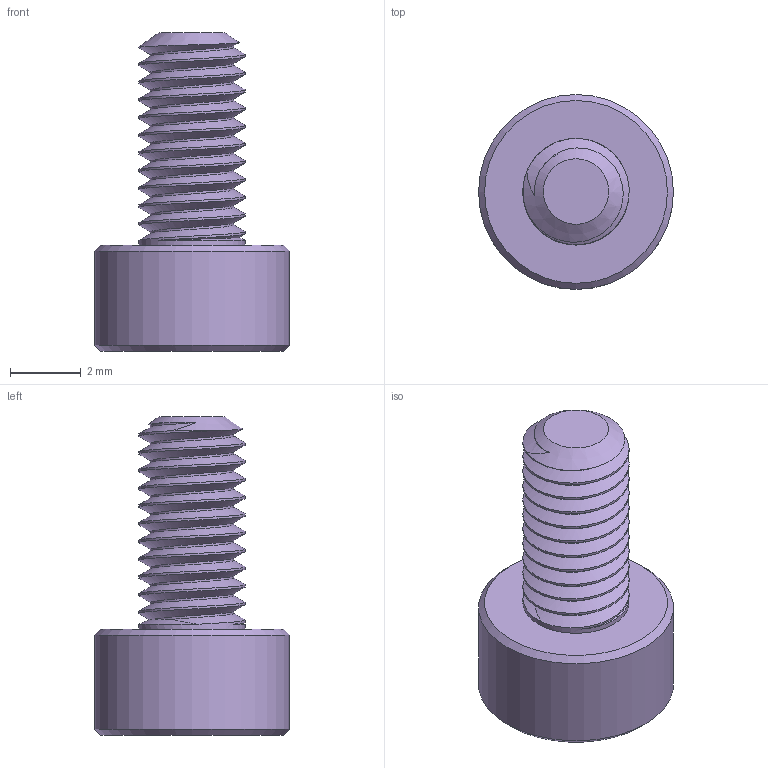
import cadquery as cq
import math

head_diameter = 5.5
head_height = 3.0
head_chamfer = 0.17

thread_diameter = 3.0
thread_pitch = 0.5
shank_length = 6.0
flank_angle = math.radians(30)
thread_depth = 3 / 8 * thread_pitch / math.tan(flank_angle)
crest_width = thread_pitch / 8
groove_height_at_zero_angle = 0.1

tip_flat_radius = 0.925
tip_length = 0.4
collar_length = 0.14
runout_angle = math.radians(23)

thread_radius = thread_diameter / 2
root_radius = thread_radius - thread_depth
overall_length = head_height + shank_length
runout_core_radius = root_radius - 0.1


def make_head():
    """Head standing on Z = 0, bevelled at the bottom and top rims."""
    cylinder = cq.Workplane("XY").circle(head_diameter / 2).extrude(head_height)
    return cylinder.faces("<Z or >Z").chamfer(head_chamfer)


def make_shank():
    """Full-diameter shank ending in a truncated cone."""
    return (
        cq.Workplane("XZ")
        .moveTo(0, head_height)
        .lineTo(thread_radius, head_height)
        .lineTo(thread_radius, overall_length - tip_length)
        .lineTo(tip_flat_radius, overall_length)
        .lineTo(0, overall_length)
        .close()
        .revolve(360, (0, 0, 0), (0, 1, 0))
    )


def make_groove():
    """Helical V groove with a flat root, overrunning both ends of the shank."""
    overcut = 0.02
    overrun = thread_pitch
    start_height = head_height + groove_height_at_zero_angle - overrun
    helix_length = shank_length + 2 * overrun

    outer_radius = thread_radius + overcut
    mouth_half_width = (thread_pitch - crest_width) / 2
    outer_half_width = mouth_half_width + overcut * math.tan(flank_angle)
    root_half_width = mouth_half_width - thread_depth * math.tan(flank_angle)

    profile = (
        (root_radius, -root_half_width),
        (outer_radius, -outer_half_width),
        (outer_radius, outer_half_width),
        (root_radius, root_half_width),
    )
    helices = [
        cq.Wire.makeHelix(thread_pitch, helix_length, radius, center=cq.Vector(0, 0, start_height + offset))
        for radius, offset in profile
    ]
    walls = [cq.Face.makeRuledSurface(helices[i - 1], helices[i]) for i in range(len(helices))]
    start_face = cq.Face.makeFromWires(cq.Wire.makePolygon([h.startPoint() for h in helices], close=True))
    end_face = cq.Face.makeFromWires(cq.Wire.makePolygon([h.endPoint() for h in helices], close=True))
    shell = cq.Shell.makeShell([*walls, start_face, end_face])
    return cq.Workplane(obj=cq.Solid.makeSolid(shell))


def make_collar(radius, bottom):
    """Plug with a conical top; the cone passes through the collar's rim whatever the radius."""
    slope = math.tan(runout_angle)
    collar_top = head_height + collar_length
    rim_height = collar_top + (thread_radius - radius) * slope
    core_height = collar_top + (thread_radius - runout_core_radius) * slope
    return (
        cq.Workplane("XZ")
        .moveTo(0, bottom)
        .lineTo(radius, bottom)
        .lineTo(radius, rim_height)
        .lineTo(runout_core_radius, core_height)
        .lineTo(0, core_height)
        .close()
        .revolve(360, (0, 0, 0), (0, 1, 0))
    )


foot_clearance = 0.1
grooved_shank = make_shank().cut(make_groove())
grooved_foot = make_collar(thread_radius + foot_clearance, head_height - 1)
thread = grooved_shank.cut(grooved_foot)
result = thread.union(make_collar(thread_radius, head_height)).union(make_head())